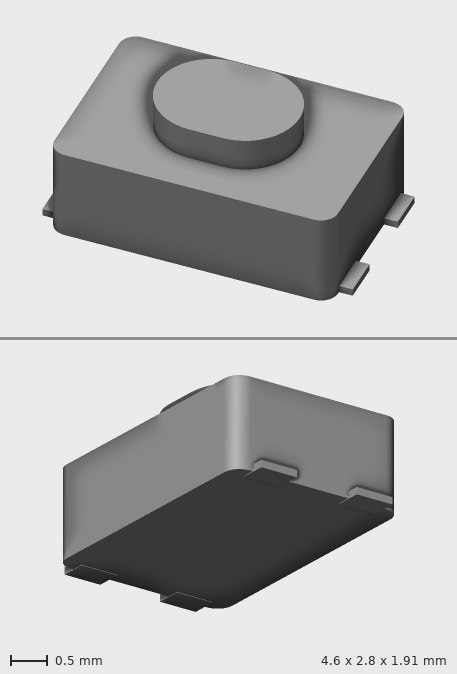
import cadquery as cq

body_length = 4.2
body_width = 2.8
body_height = 1.4
corner_radius = 0.25
body_standoff = 0.01

button_width = 1.61
button_straight = 0.5
button_height = 0.5

lead_span = 4.6
lead_width = 0.6
lead_thickness = 0.11
lead_pitch = 1.61
lead_embed = 0.2

body_top = body_standoff + body_height


def make_body():
    """Rectangular block with rounded vertical edges."""
    block = (
        cq.Workplane("XY")
        .workplane(offset=body_standoff)
        .rect(body_length, body_width)
        .extrude(body_height)
    )
    return block.edges("|Z").fillet(corner_radius)


def make_button():
    """Obround actuator standing on the top of the body."""
    button_length = button_straight + button_width
    return (
        cq.Workplane("XY")
        .workplane(offset=body_top)
        .slot2D(button_length, button_width)
        .extrude(button_height)
    )


def make_leads():
    """Four flat leads, two projecting from each end of the body."""
    lead_length = (lead_span - body_length) / 2 + lead_embed
    lead_center = (lead_span - lead_length) / 2
    return (
        cq.Workplane("XY")
        .rarray(2 * lead_center, lead_pitch, 2, 2)
        .rect(lead_length, lead_width)
        .extrude(lead_thickness)
    )


result = make_body().union(make_button()).union(make_leads())